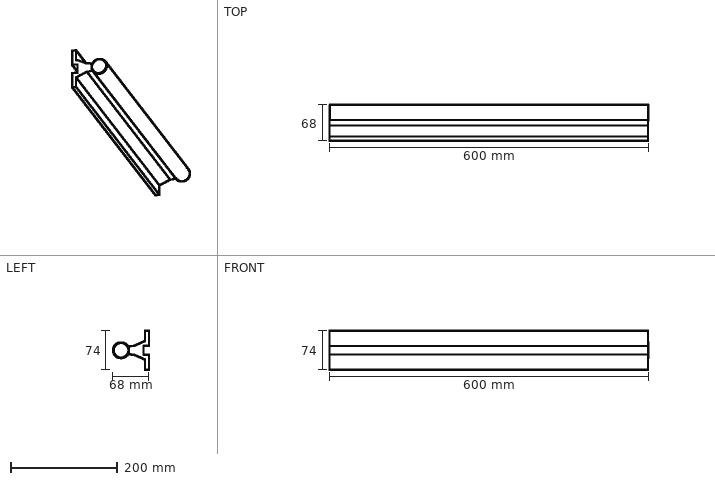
import cadquery as cq
import math

length = 600.0
base_width = 74.0
total_depth = 68.0

shaft_diameter = 30.0
shaft_radius = shaft_diameter / 2
shaft_chamfer = 1.0
shaft_center_y = total_depth - shaft_radius

shaft_overhang = 1.0
rail_length = length - shaft_overhang

flange_thickness = 8.0
web_root_width = 35.5
neck_width = 17.0
neck_start_y = 29.0
neck_end_y = 33.0
cradle_width = 13.0
groove_width = 16.0
groove_depth = 10.0


def make_shaft():
    """Round shaft running along X, chamfered at both ends."""
    return (
        cq.Workplane("YZ")
        .center(shaft_center_y, 0)
        .circle(shaft_radius)
        .extrude(length)
        .faces("<X or >X")
        .chamfer(shaft_chamfer)
    )


def make_support_rail():
    """Flanged rail whose tapered web carries the shaft in a concave seat."""
    seat_edge_y = shaft_center_y - math.sqrt(shaft_radius**2 - (cradle_width / 2) ** 2)
    upper_half = [
        (groove_depth, groove_width / 2),
        (0, groove_width / 2),
        (0, base_width / 2),
        (flange_thickness, base_width / 2),
        (flange_thickness, web_root_width / 2),
        (neck_start_y, neck_width / 2),
        (neck_end_y, neck_width / 2),
        (seat_edge_y, cradle_width / 2),
    ]
    lower_half = [(y, -z) for y, z in reversed(upper_half)]
    seat_bottom = (shaft_center_y - shaft_radius, 0)
    return (
        cq.Workplane("YZ")
        .polyline(upper_half)
        .threePointArc(seat_bottom, lower_half[0])
        .polyline(lower_half, includeCurrent=False)
        .close()
        .extrude(rail_length)
    )


shaft = make_shaft()
support_rail = make_support_rail()

result = cq.Compound.makeCompound([shaft.val(), support_rail.val()])